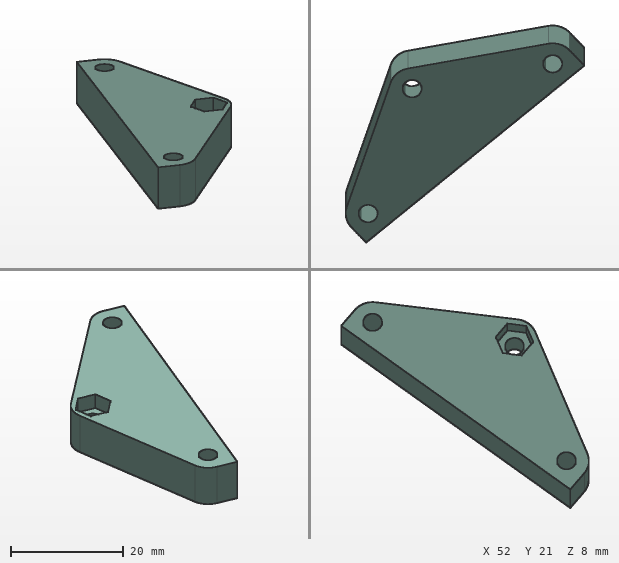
import cadquery as cq
import math

length = 52.0
depth = 21.0
thickness = 8.0
corner_radius = 4.0
hole_diameter = 3.4
nut_across_corners = 6.75
nut_pocket_depth = 3.0

hole_x = length / 2 - corner_radius
side_hole_y = corner_radius
apex_hole_y = depth - corner_radius
hole_centers = [(-hole_x, side_hole_y), (hole_x, side_hole_y), (0, apex_hole_y)]

normal_angle = math.atan2(hole_x, apex_hole_y - side_hole_y)


def on_corner(center_x, center_y, angle):
    """Point on a rounded corner at the given angle from +X."""
    return (
        center_x + corner_radius * math.cos(angle),
        center_y + corner_radius * math.sin(angle),
    )


def mirrored(point):
    return (-point[0], point[1])


side_end = on_corner(hole_x, side_hole_y, normal_angle)
side_middle = on_corner(hole_x, side_hole_y, normal_angle / 2)
apex_end = on_corner(0, apex_hole_y, normal_angle)

plate = (
    cq.Workplane("XY")
    .moveTo(-length / 2, 0)
    .lineTo(length / 2, 0)
    .lineTo(length / 2, side_hole_y)
    .threePointArc(side_middle, side_end)
    .lineTo(*apex_end)
    .threePointArc((0, depth), mirrored(apex_end))
    .lineTo(*mirrored(side_end))
    .threePointArc(mirrored(side_middle), (-length / 2, side_hole_y))
    .close()
    .extrude(thickness)
)

holes = cq.Workplane("XY").pushPoints(hole_centers).circle(hole_diameter / 2).extrude(thickness)

nut_pocket = (
    cq.Workplane("XY")
    .polygon(6, nut_across_corners)
    .extrude(nut_pocket_depth)
    .rotate((0, 0, 0), (0, 0, 1), 90)
    .translate((0, apex_hole_y, thickness - nut_pocket_depth))
)

result = plate.cut(holes).cut(nut_pocket)